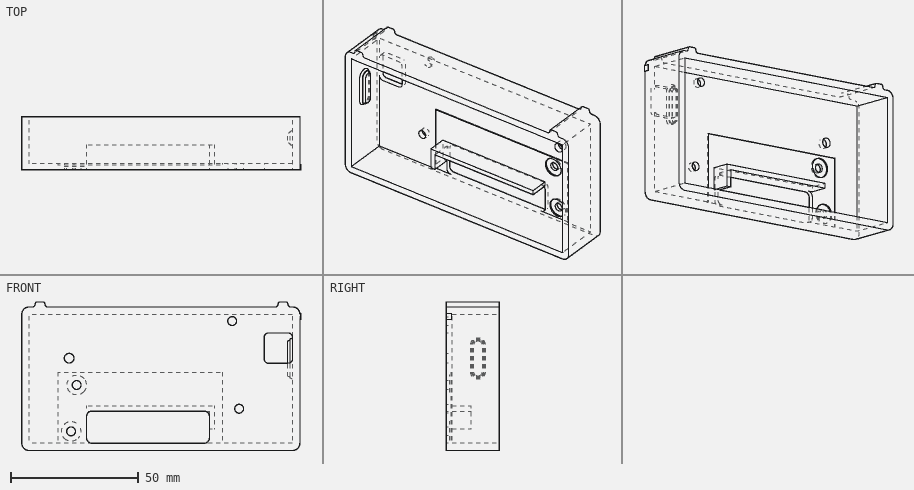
import cadquery as cq
import math

OVERALL_LENGTH = 109.6
DEPTH = 20.9
OVERALL_HEIGHT = 58.4
WALL = 3.0
PLATE = 2.4
CORNER_RADIUS = 3.0

TAB_REACH = 0.3
TAB_HEIGHT = 2.3
TAB_DEPTH = 2.2
TAB_BOTTOM = 51.5

RAIL_HEIGHT = 2.0
RAIL_WIDTH = 4.2
RAIL_LEAN = 0.16
RAIL_FILLET = 0.8
RAIL_CENTRES = (-47.6, 47.8)

SLOT_LEFT = -29.3
SLOT_RIGHT = 18.9
SLOT_TOP = 15.5
SLOT_RADIUS = 2.0
WINDOW_WIDTH = 11.1
WINDOW_BOTTOM = 34.3
WINDOW_TOP = 46.1
WINDOW_RADIUS = 1.6

HOLE_DIAMETER = 3.4
LARGE_HOLE_DIAMETER = 3.7
THIN_HOLES = ((-33.2, 25.8), (-35.4, 7.6))
THICK_HOLES = ((27.8, 50.9), (30.6, 16.4))
LARGE_HOLE = (-36.2, 36.3)

RECESS_LEFT = -40.5
RECESS_RIGHT = 24.1
RECESS_TOP = 30.7
RECESS_SKIN = 2.0
SPOT_FACE_SKIN = 1.3
SPOT_FACE_DIAMETER = 7.7

HOOD_DEPTH = 9.9
HOOD_THICKNESS = 2.0
HOOD_DROP_BOTTOM = 8.5

RIDGE_TIER_REACH = 1.0
RIDGE_WIDTH = 5.9
RIDGE_LENGTH = 16.2
RIDGE_CENTRE_Y = 12.5
RIDGE_CENTRE_Z = 36.2
RIDGE_TAPER = 25.0
RIDGE_TIER_INSET = 0.7

BODY_LEFT = -OVERALL_LENGTH / 2
BODY_RIGHT = OVERALL_LENGTH / 2 - TAB_REACH
BODY_HEIGHT = OVERALL_HEIGHT - RAIL_HEIGHT
CAVITY_RIGHT = BODY_RIGHT - WALL
CAVITY_TOP = BODY_HEIGHT - WALL


def block(x0, x1, y0, y1, z0, z1):
    """Axis-aligned block between opposite limits."""
    return cq.Workplane("XY").box(x1 - x0, y1 - y0, z1 - z0, centered=False).translate((x0, y0, z0))


def rounded_block(x0, x1, y0, y1, z0, z1, radius):
    """Block with its four edges along Y rounded."""
    return block(x0, x1, y0, y1, z0, z1).edges("|Y").fillet(radius)


def cylinder(centre, diameter, y0, y1):
    """Cylinder along +Y, with its centre given as (x, z)."""
    x, z = centre
    return cq.Workplane("XZ", origin=(x, y0, z)).circle(diameter / 2).extrude(y0 - y1)


def rail(centre_x):
    """Full-depth rail with rounded top edges and concave flares at its foot."""
    half = RAIL_WIDTH / 2
    top_half = half - RAIL_LEAN
    r = RAIL_FILLET
    sink = WALL / 2
    bend = r * (1 - 0.5 ** 0.5)
    return (
        cq.Workplane("XZ", origin=(centre_x, 0, BODY_HEIGHT))
        .moveTo(-half - r, -sink)
        .lineTo(-half - r, 0)
        .threePointArc((-half - bend, bend), (-half, r))
        .lineTo(-top_half, RAIL_HEIGHT - r)
        .threePointArc((-top_half + bend, RAIL_HEIGHT - bend), (-top_half + r, RAIL_HEIGHT))
        .lineTo(top_half - r, RAIL_HEIGHT)
        .threePointArc((top_half - bend, RAIL_HEIGHT - bend), (top_half, RAIL_HEIGHT - r))
        .lineTo(half, r)
        .threePointArc((half + bend, bend), (half + r, 0))
        .lineTo(half + r, -sink)
        .close()
        .extrude(-DEPTH)
    )


def shell():
    """Box open at the back, with its rails and side tab."""
    body = rounded_block(BODY_LEFT, BODY_RIGHT, 0, DEPTH, 0, BODY_HEIGHT, CORNER_RADIUS)
    body = body.cut(block(BODY_LEFT + WALL, CAVITY_RIGHT, PLATE, DEPTH, WALL, CAVITY_TOP))
    body = body.cut(block(RECESS_LEFT, RECESS_RIGHT, RECESS_SKIN, PLATE, WALL, RECESS_TOP))
    for centre_x in RAIL_CENTRES:
        body = body.union(rail(centre_x))
    tab = block(CAVITY_RIGHT, BODY_RIGHT + TAB_REACH, 0, TAB_DEPTH, TAB_BOTTOM, TAB_BOTTOM + TAB_HEIGHT)
    return body.union(tab)


def slot_hood():
    """Shelf over the slot and the drop wall flush with its right end."""
    hood_right = SLOT_RIGHT + HOOD_THICKNESS
    hood_top = SLOT_TOP + HOOD_THICKNESS
    shelf = block(SLOT_LEFT, hood_right, 0, HOOD_DEPTH, SLOT_TOP, hood_top)
    drop = block(SLOT_RIGHT, hood_right, 0, HOOD_DEPTH, HOOD_DROP_BOTTOM, hood_top)
    return shelf.union(drop)


def ridge_tier(wall_x, inset):
    """Round-ended tier that narrows away from the wall at wall_x."""
    return (
        cq.Workplane("YZ", origin=(wall_x, RIDGE_CENTRE_Y, RIDGE_CENTRE_Z))
        .slot2D(RIDGE_LENGTH - inset, RIDGE_WIDTH - inset, 90)
        .extrude(-RIDGE_TIER_REACH, taper=RIDGE_TAPER)
    )


def side_ridge():
    """Two tapered tiers stacked with a small ledge between them."""
    narrowing = 2 * RIDGE_TIER_REACH * math.tan(math.radians(RIDGE_TAPER))
    base = ridge_tier(CAVITY_RIGHT, 0)
    return base.union(ridge_tier(CAVITY_RIGHT - RIDGE_TIER_REACH, narrowing + RIDGE_TIER_INSET))


def plate_opening(x0, x1, z0, z1, radius):
    """Cutter for a rounded opening through the front plate."""
    return rounded_block(x0, x1, 0, PLATE, z0, z1, radius)


result = shell().union(slot_hood()).union(side_ridge())

result = result.cut(plate_opening(SLOT_LEFT, SLOT_RIGHT, WALL, SLOT_TOP, SLOT_RADIUS))
window_left = CAVITY_RIGHT - WINDOW_WIDTH
result = result.cut(plate_opening(window_left, CAVITY_RIGHT, WINDOW_BOTTOM, WINDOW_TOP, WINDOW_RADIUS))

for centre in THIN_HOLES:
    result = result.cut(cylinder(centre, SPOT_FACE_DIAMETER, SPOT_FACE_SKIN, RECESS_SKIN))
for centre in THIN_HOLES + THICK_HOLES:
    result = result.cut(cylinder(centre, HOLE_DIAMETER, 0, PLATE))
result = result.cut(cylinder(LARGE_HOLE, LARGE_HOLE_DIAMETER, 0, PLATE))